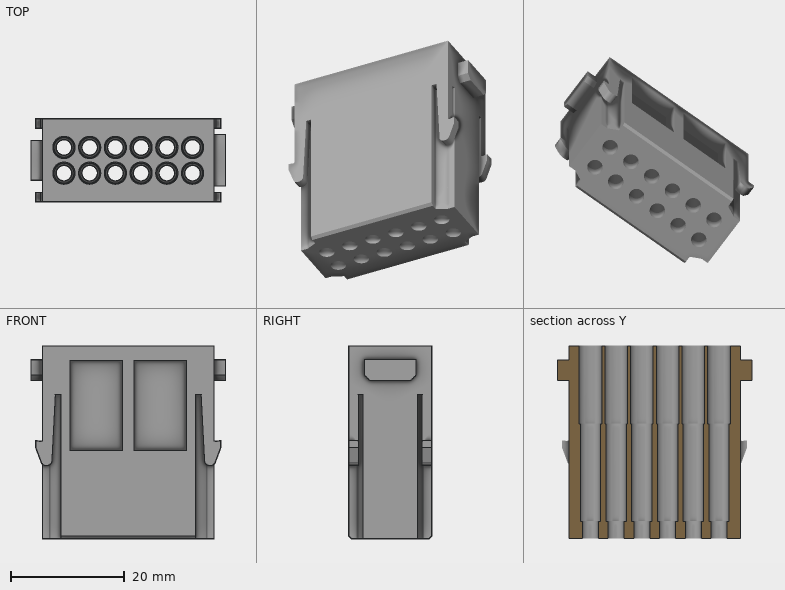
import cadquery as cq

body_length = 30.13
body_width = 14.6
body_height = 33.9
bottom_chamfer = 0.48

overall_length = 34.2
key_top_z = 31.45
key_bottom_z = 27.77
key_chamfer = 0.95
left_key_width = 7.0
right_key_width = 9.05

bore_columns = 6
bore_rows = 2
bore_pitch = 4.5
mouth_diameter = 3.9
mouth_depth = 13.68
middle_diameter = 3.5
middle_depth = 23.95
through_diameter = 2.7

window_width = 9.25
window_gap = 2.0
window_bottom_z = 15.5
window_top_z = 31.33
window_depth = 2.45

recess_top_z = 25.38
recess_side_x = 11.85
recess_bend_x = 13.75
recess_end_y = 4.8
recess_side_y = 5.7
recess_fillet = 0.17

arm_inner_y = 5.6
arm_root_x = 12.8
arm_tip_inner_x = 13.45
arm_tip_outer_x = 15.08
arm_tip_z = 12.9
arm_tip_radius = 0.82
hook_x = 16.28
hook_top_z = 17.27
hook_lower_z = 16.07
hook_valley_x = 15.4
hook_valley_z = 17.15
hook_wall_z = 17.25

half_length = body_length / 2
half_width = body_width / 2


def make_body():
    """Plain block, bevelled along its long bottom edges."""
    block = cq.Workplane("XY").box(body_length, body_width, body_height, centered=(True, True, False))
    return block.faces("<Z").edges("|X").chamfer(bottom_chamfer)


def make_key(side, width):
    """Guide key on the end face given by side (-1 or +1), bevelled along its lower edges."""
    reach = (overall_length - body_length) / 2
    key = cq.Workplane("XY").box(reach, width, key_top_z - key_bottom_z)
    key = key.faces("<Z").edges("|X").chamfer(key_chamfer)
    return key.translate((side * (half_length + reach / 2), 0, (key_top_z + key_bottom_z) / 2))


def make_corner_recess():
    """Cutter for the +X +Y corner: an end step, a slanted back wall and a side step, with eased corners."""
    outline = [
        (half_length, recess_end_y),
        (recess_bend_x, recess_end_y),
        (recess_side_x, recess_side_y),
        (recess_side_x, half_width),
        (half_length, half_width),
    ]
    cutter = cq.Workplane("XY").polyline(outline).close().extrude(recess_top_z)
    for corner in outline[1:3]:
        cutter = cutter.edges(cq.NearestToPointSelector((*corner, recess_top_z / 2))).fillet(recess_fillet)
    return cutter


def make_latch_arm():
    """Tapered arm of the +X +Y corner with an outward hook and a rounded tip."""
    outline = [
        (arm_root_x, recess_top_z),
        (arm_tip_inner_x, arm_tip_z),
        (arm_tip_outer_x, arm_tip_z),
        (hook_x, hook_lower_z),
        (hook_x, hook_top_z),
        (hook_valley_x, hook_valley_z),
        (half_length, hook_wall_z),
        (half_length, recess_top_z),
    ]
    plane = cq.Workplane("XZ", origin=(0, arm_inner_y, 0))
    arm = plane.polyline(outline).close().extrude(arm_inner_y - half_width)
    return arm.faces("<Z").edges("|Y").fillet(arm_tip_radius)


def make_windows():
    """Cutter for the two windows, side by side about the middle of the -Y face."""
    centre_x = (window_width + window_gap) / 2
    return (
        cq.Workplane("XY")
        .pushPoints([(-centre_x, 0), (centre_x, 0)])
        .box(window_width, window_depth, window_top_z - window_bottom_z)
        .translate((0, (window_depth - body_width) / 2, (window_top_z + window_bottom_z) / 2))
    )


def make_bores():
    """Cutter for the grid of bores, each narrowing in steps from its mouth."""
    steps = [
        (mouth_diameter, mouth_depth),
        (middle_diameter, middle_depth),
        (through_diameter, body_height),
    ]
    bore = cq.Workplane("XY", origin=(0, 0, body_height))
    for diameter, depth in steps:
        bore = bore.circle(diameter / 2).extrude(-depth)
    grid = cq.Workplane("XY").rarray(bore_pitch, bore_pitch, bore_columns, bore_rows)
    return grid.eachpoint(bore.val(), combine=True)


def at_every_corner(make_shape):
    """The four copies of a +X +Y corner shape, mirrored to the other corners."""
    pair = [make_shape(), make_shape().mirror("YZ")]
    return pair + [shape.mirror("XZ") for shape in pair]


result = make_body()
result = result.union(make_key(-1, left_key_width))
result = result.union(make_key(1, right_key_width))
result = result.cut(make_windows())
result = result.cut(make_bores())
for recess in at_every_corner(make_corner_recess):
    result = result.cut(recess)
for latch_arm in at_every_corner(make_latch_arm):
    result = result.union(latch_arm)
result = result.clean()